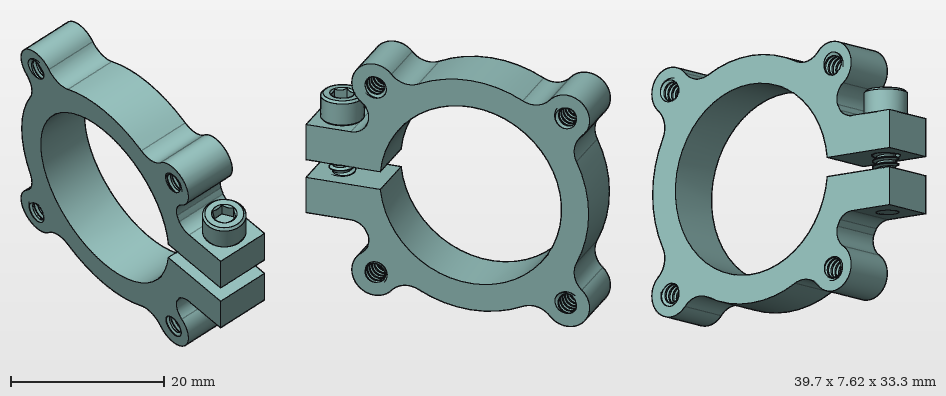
import cadquery as cq
import math

WIDTH = 7.62
BORE_RADIUS = 12.7
RING_RADIUS = 16.5
LUG_CIRCLE_RADIUS = 19.05
LUG_RADIUS = 3.18
LUG_FILLET_RADIUS = 3.18
EAR_FILLET_RADIUS = 2.5
OVERALL_LENGTH = 39.7
EAR_HALF_HEIGHT = 6.35
GAP = 2.55

PITCH = 0.8
THREAD_MAJOR_RADIUS = 1.75
SCREW_ROOT_RADIUS = 1.27
TAP_MINOR_RADIUS = 1.3
THREAD_BASE_WIDTH = 0.6
THREAD_CREST_WIDTH = 0.08
ROOT_OVERLAP = 0.08
TAP_PHASE = 75.0

SCREW_X = 19.4
HEAD_RADIUS = 2.85
HEAD_HEIGHT = 3.55
HEAD_TOP_CHAMFER = 0.3
HEAD_BOTTOM_CHAMFER = 0.2
HEX_FLATS = 2.78
HEX_DEPTH = 1.75
SOCKET_MOUTH_RADIUS = 1.65
SHANK_LENGTH = 2 * EAR_HALF_HEIGHT
THREAD_LENGTH = 14 * PITCH
CLEARANCE_RADIUS = 1.9

LUG_OFFSET = LUG_CIRCLE_RADIUS / math.sqrt(2)
EAR_END_X = OVERALL_LENGTH - LUG_OFFSET - LUG_RADIUS


def polar(radius, degrees):
    angle = math.radians(degrees)
    return radius * math.cos(angle), radius * math.sin(angle)


def xz_block(x_min, x_max, z_min, z_max):
    """Block across the full clamp width."""
    return (
        cq.Workplane("XY")
        .box(x_max - x_min, WIDTH, z_max - z_min)
        .translate(((x_min + x_max) / 2, 0, (z_min + z_max) / 2))
    )


def xz_disc(x, z, radius):
    """Disc across the full clamp width, its axis along Y."""
    return cq.Workplane("XZ").center(x, z).circle(radius).extrude(WIDTH / 2, both=True)


def xz_prism(points):
    return cq.Workplane("XZ").polyline(points).close().extrude(WIDTH / 2, both=True)


def lug_fillet(lug_angle, side):
    """Web on one side of a lug, hollowed by an arc tangent to both lug and ring."""
    to_ring = RING_RADIUS + LUG_FILLET_RADIUS
    to_lug = LUG_RADIUS + LUG_FILLET_RADIUS
    cosine = (to_ring**2 + LUG_CIRCLE_RADIUS**2 - to_lug**2) / (2 * to_ring * LUG_CIRCLE_RADIUS)
    arc_angle = lug_angle + side * math.degrees(math.acos(cosine))
    arc_center = polar(to_ring, arc_angle)
    web = xz_prism([(0, 0), polar(LUG_CIRCLE_RADIUS, lug_angle), arc_center])
    return web.cut(xz_disc(*arc_center, LUG_FILLET_RADIUS))


def ear_fillet(side):
    """Web between a right-hand lug and its ear, hollowed by an arc tangent to both."""
    arc_z = EAR_HALF_HEIGHT + EAR_FILLET_RADIUS
    reach = LUG_RADIUS + EAR_FILLET_RADIUS
    arc_x = LUG_OFFSET + math.sqrt(reach**2 - (LUG_OFFSET - arc_z) ** 2)
    web = xz_prism([
        (0, 0),
        (LUG_OFFSET, side * LUG_OFFSET),
        (arc_x, side * arc_z),
        (arc_x, side * EAR_HALF_HEIGHT),
    ])
    return web.cut(xz_disc(arc_x, side * arc_z, EAR_FILLET_RADIUS))


def thread_ridge(core_radius, length):
    """Right-handed helical ridge around Z, starting at angle 0 and height 0."""
    inner = core_radius - ROOT_OVERLAP
    half_base = THREAD_BASE_WIDTH / 2
    half_crest = THREAD_CREST_WIDTH / 2
    helix = cq.Wire.makeHelix(PITCH, length, core_radius)
    return (
        cq.Workplane("XZ")
        .polyline([
            (inner, -half_base),
            (THREAD_MAJOR_RADIUS, -half_crest),
            (THREAD_MAJOR_RADIUS, half_crest),
            (inner, half_base),
        ])
        .close()
        .sweep(cq.Workplane(helix), isFrenet=True)
    )


def make_tap():
    """Threaded cutter along Y; its groove crosses the front face of the clamp at angle 0."""
    turns = math.ceil(WIDTH / PITCH) + 2
    length = turns * PITCH
    core = cq.Workplane("XY").circle(TAP_MINOR_RADIUS).extrude(length)
    cutter = core.union(thread_ridge(TAP_MINOR_RADIUS, length))
    front_y = -WIDTH / 2
    cutter = cutter.translate((0, 0, PITCH - length))
    return cutter.rotate((0, 0, 0), (1, 0, 0), 90).translate((0, front_y, 0))


def make_screw():
    """Socket-head cap screw, head seated on the upper ear."""
    shank = cq.Workplane("XY").circle(SCREW_ROOT_RADIUS).extrude(SHANK_LENGTH)
    ridge = thread_ridge(SCREW_ROOT_RADIUS, THREAD_LENGTH + PITCH).translate((0, 0, -PITCH))
    trim = cq.Workplane("XY").circle(HEAD_RADIUS).extrude(SHANK_LENGTH)
    head = (
        cq.Workplane("XY")
        .workplane(offset=SHANK_LENGTH)
        .circle(HEAD_RADIUS)
        .extrude(HEAD_HEIGHT)
        .faces(">Z").chamfer(HEAD_TOP_CHAMFER)
        .faces("<Z").chamfer(HEAD_BOTTOM_CHAMFER)
    )
    hex_corners = HEX_FLATS / math.cos(math.radians(30))
    socket = (
        cq.Workplane("XY")
        .workplane(offset=SHANK_LENGTH + HEAD_HEIGHT - HEX_DEPTH)
        .polygon(6, hex_corners)
        .extrude(HEX_DEPTH)
        .rotate((0, 0, 0), (0, 0, 1), 30)
    )
    countersink = cq.Workplane(cq.Solid.makeCone(
        SOCKET_MOUTH_RADIUS, 0, SOCKET_MOUTH_RADIUS,
        pnt=cq.Vector(0, 0, SHANK_LENGTH + HEAD_HEIGHT),
        dir=cq.Vector(0, 0, -1),
    ))
    screw = shank.union(ridge.intersect(trim)).union(head).cut(socket).cut(countersink)
    return screw.translate((SCREW_X, 0, -EAR_HALF_HEIGHT))


def make_clamp(screw):
    body = xz_disc(0, 0, RING_RADIUS)
    body = body.union(xz_block(0, EAR_END_X, -EAR_HALF_HEIGHT, EAR_HALF_HEIGHT))
    lug_angles = (45, 135, 225, 315)
    for angle in lug_angles:
        body = body.union(xz_disc(*polar(LUG_CIRCLE_RADIUS, angle), LUG_RADIUS))

    for angle, side in ((45, 1), (135, -1), (135, 1), (225, -1), (225, 1), (315, -1)):
        body = body.union(lug_fillet(angle, side))
    for side in (-1, 1):
        body = body.union(ear_fillet(side))

    body = body.cut(xz_disc(0, 0, BORE_RADIUS))
    body = body.cut(xz_block(0, EAR_END_X, -GAP / 2, GAP / 2))

    tap = make_tap()
    for angle in lug_angles:
        x, z = polar(LUG_CIRCLE_RADIUS, angle)
        turn = TAP_PHASE + angle - lug_angles[0]
        body = body.cut(tap.rotate((0, 0, 0), (0, -1, 0), turn).translate((x, 0, z)))

    clearance = cq.Workplane("XY").center(SCREW_X, 0).circle(CLEARANCE_RADIUS).extrude(EAR_HALF_HEIGHT)
    return body.cut(clearance).cut(screw)


screw = make_screw()
clamp = make_clamp(screw)

result = cq.Compound.makeCompound([clamp.solids().val(), screw.solids().val()])